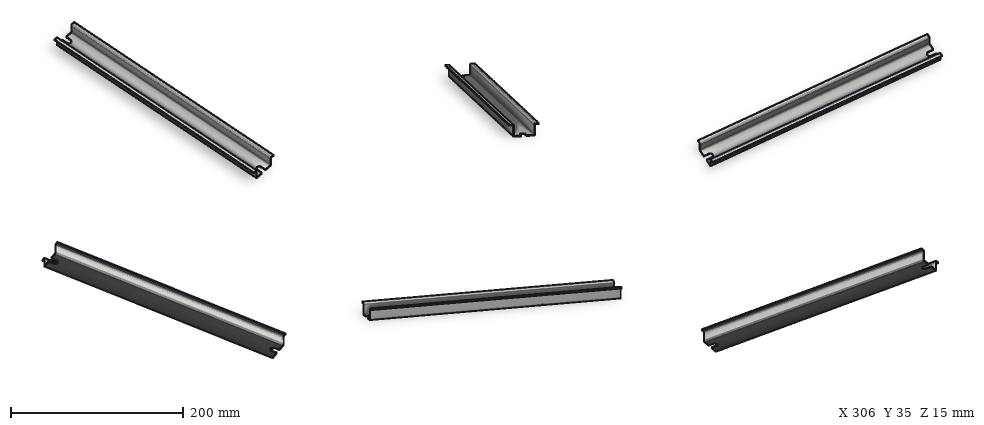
import cadquery as cq

length = 306.0
rail_width = 35.0
rail_height = 15.0
thickness = 1.5
channel_width = 27.0
inner_radius = 0.5
outer_radius = inner_radius + thickness
wall_outer = channel_width / 2
wall_inner = wall_outer - thickness
lip_underside = rail_height - thickness

slot_width = 6.3
slot_depth = 10.0

edge_tolerance = 0.01


def hat_profile():
    """Sharp-cornered hat section, open at the top, with a lip on each side."""
    lip_end = rail_width / 2
    right_side = [
        (wall_outer, 0),
        (wall_outer, lip_underside),
        (lip_end, lip_underside),
        (lip_end, rail_height),
        (wall_inner, rail_height),
        (wall_inner, thickness),
    ]
    left_side = [(-y, z) for y, z in reversed(right_side)]
    return cq.Workplane("YZ").polyline(right_side + left_side).close()


def edges_at(rail, y, z):
    """Both lengthwise edges at height z, at +y and -y."""
    right_edge, left_edge = [
        cq.selectors.BoxSelector(
            (-length, side * y - edge_tolerance, z - edge_tolerance),
            (length, side * y + edge_tolerance, z + edge_tolerance),
        )
        for side in (1, -1)
    ]
    return rail.edges("|X").edges(right_edge + left_edge)


def make_rail():
    """Hat section extruded along X, with rounded bends."""
    rail = hat_profile().extrude(length / 2, both=True)
    rail = edges_at(rail, wall_outer, 0).fillet(outer_radius)
    rail = edges_at(rail, wall_inner, rail_height).fillet(outer_radius)
    rail = edges_at(rail, wall_inner, thickness).fillet(inner_radius)
    return edges_at(rail, wall_outer, lip_underside).fillet(inner_radius)


def end_slots():
    """One cutter at each end; its outer half lies beyond the rail."""
    return (
        cq.Workplane("XY")
        .pushPoints([(-length / 2, 0), (length / 2, 0)])
        .slot2D(2 * slot_depth, slot_width)
        .extrude(thickness)
    )


result = make_rail().cut(end_slots())